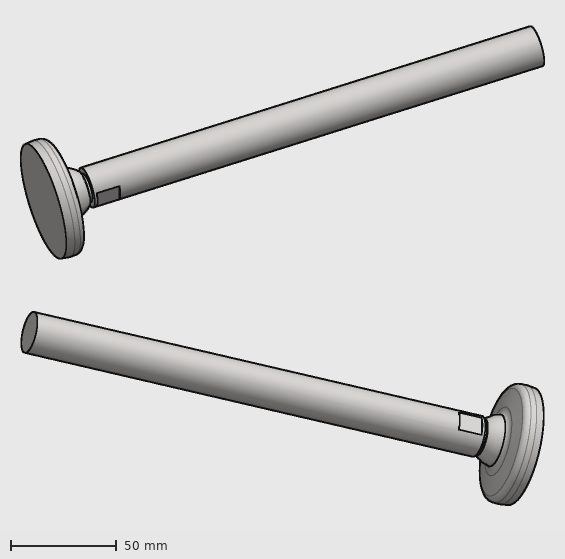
import cadquery as cq

total_length = 252.0
sole_y = -total_length / 2
rod_end_y = total_length / 2

foot_diameter = 58.0
foot_radius = foot_diameter / 2
sole_radius = 28.5
widest_height = 4.0
shoulder_radius = 28.7
shoulder_height = 9.5
shoulder_fillet = 3.3
skirt_radius = 16.6
skirt_height = 11.5
flare_mid_radius = 14.0
flare_mid_height = 12.0
hub_base_radius = 12.5
hub_base_height = 13.0
hub_mid_radius = 11.3
hub_mid_height = 17.0
hub_top_radius = 8.8
hub_top_height = 20.5

rod_diameter = 20.0
rod_radius = rod_diameter / 2
rod_base_height = 22.2
neck_root_radius = 7.0
neck_foot_radius = 7.5
flats_width = 17.5
flats_bottom_height = 23.7
flats_length = 11.5


def at_height(height):
    """Y position of a point at the given height above the sole."""
    return sole_y + height


def revolve_about_y(profile):
    """Turn a closed XY profile once around the Y axis."""
    return profile.close().revolve(360, (0, 0, 0), (0, 1, 0))


def make_foot():
    """Disc with a rounded shoulder, flared skirt and domed hub."""
    profile = (
        cq.Workplane("XY")
        .moveTo(0, sole_y)
        .lineTo(sole_radius, sole_y)
        .lineTo(foot_radius, at_height(widest_height))
        .lineTo(shoulder_radius, at_height(shoulder_height))
        .lineTo(skirt_radius, at_height(skirt_height))
        .threePointArc(
            (flare_mid_radius, at_height(flare_mid_height)),
            (hub_base_radius, at_height(hub_base_height)),
        )
        .threePointArc(
            (hub_mid_radius, at_height(hub_mid_height)),
            (hub_top_radius, at_height(hub_top_height)),
        )
        .lineTo(0, at_height(hub_top_height))
    )
    shoulder_edge = cq.selectors.NearestToPointSelector((0, at_height(shoulder_height), 0))
    return revolve_about_y(profile).edges(shoulder_edge).fillet(shoulder_fillet)


def make_flat_cutter(side):
    """Block that removes one wrench flat on the +X (1) or -X (-1) side."""
    depth = rod_radius
    center_x = side * (flats_width + depth) / 2
    center_y = at_height(flats_bottom_height + flats_length / 2)
    return (
        cq.Workplane("XY")
        .box(depth, flats_length, rod_diameter)
        .translate((center_x, center_y, 0))
    )


def make_rod():
    """Shaft and neck in one piece, with a wrench flat on each side."""
    profile = (
        cq.Workplane("XY")
        .moveTo(0, at_height(hub_top_height))
        .lineTo(neck_foot_radius, at_height(hub_top_height))
        .lineTo(neck_root_radius, at_height(rod_base_height))
        .lineTo(rod_radius, at_height(rod_base_height))
        .lineTo(rod_radius, rod_end_y)
        .lineTo(0, rod_end_y)
    )
    rod = revolve_about_y(profile)
    for side in (-1, 1):
        rod = rod.cut(make_flat_cutter(side))
    return rod


foot = make_foot()
rod = make_rod()

result = cq.Compound.makeCompound([foot.val(), rod.val()])